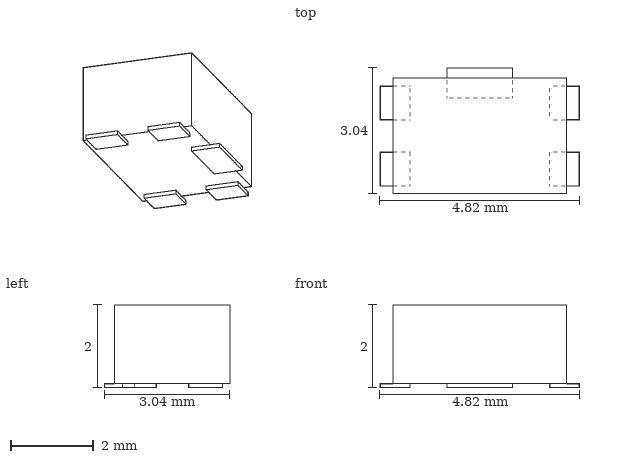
import cadquery as cq

overall_length = 4.82
overall_width = 3.04
overall_height = 2.0

housing_length = 4.205
housing_width = 2.8
terminal_thickness = 0.095
housing_height = overall_height - terminal_thickness

terminal_length = 0.725
terminal_width = 0.82
terminal_pitch = 1.6
front_terminal_inset = 0.185

tab_width = 1.59
tab_length = terminal_length
tab_overhang = overall_width - housing_width

terminal_x = (overall_length - terminal_length) / 2
front_terminal_y = -housing_width / 2 + front_terminal_inset + terminal_width / 2
rear_terminal_y = front_terminal_y + terminal_pitch
tab_y = housing_width / 2 + tab_overhang - tab_length / 2


def block(size_x, size_y, size_z, center_x, center_y, bottom_z):
    """Box centred on (center_x, center_y) and rising from bottom_z."""
    return (
        cq.Workplane("XY")
        .box(size_x, size_y, size_z, centered=(True, True, False))
        .translate((center_x, center_y, bottom_z))
    )


def make_housing():
    return block(housing_length, housing_width, housing_height, 0, 0, terminal_thickness)


def make_side_terminal(center_x, center_y):
    return block(terminal_length, terminal_width, terminal_thickness, center_x, center_y, 0)


def make_rear_tab():
    return block(tab_width, tab_length, terminal_thickness, 0, tab_y, 0)


housing = make_housing()
rear_tab = make_rear_tab()

side_terminals = []
for x in (-terminal_x, terminal_x):
    for y in (front_terminal_y, rear_terminal_y):
        side_terminals.append(make_side_terminal(x, y).val())

result = cq.Compound.makeCompound([housing.val(), rear_tab.val(), *side_terminals])